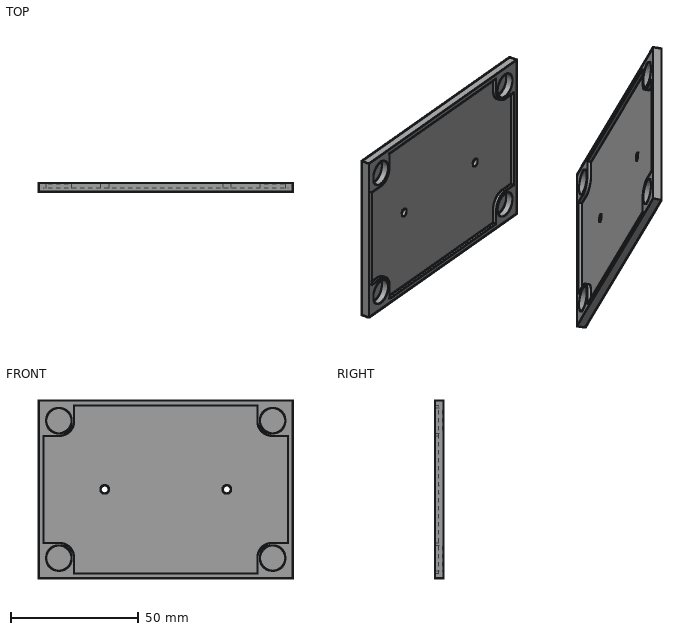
import cadquery as cq

length = 100.0
height = 70.0
thickness = 3.5

rim_width = 2.0
recess_depth = 1.5

pocket_diameter = 10.0
pocket_inset = 8.0
pocket_depth = 3.0
pad_radius = pocket_inset - rim_width

hole_diameter = 3.2
hole_spacing = 48.0

pocket_x = length / 2 - pocket_inset
pocket_z = height / 2 - pocket_inset
pocket_centers = [(sx * pocket_x, sz * pocket_z) for sx in (-1, 1) for sz in (-1, 1)]


def front_plane():
    """Workplane on the front face; local x, y are X, Z and negative extrusion goes into the plate."""
    return cq.Workplane("XZ")


def corner_pad(x, z):
    """Pad left standing in one recess corner, rounded about the pocket centre."""
    side = 2 * pad_radius
    return (
        front_plane()
        .center(x, z)
        .rect(side, side)
        .extrude(-recess_depth)
        .edges("|Y")
        .edges(cq.selectors.NearestToPointSelector((0, 0, 0)))
        .fillet(pad_radius)
    )


def recess():
    """Recess volume: an inset rectangle less the four corner pads."""
    volume = front_plane().rect(length - 2 * rim_width, height - 2 * rim_width).extrude(-recess_depth)
    for x, z in pocket_centers:
        volume = volume.cut(corner_pad(x, z))
    return volume


def corner_pockets():
    return front_plane().pushPoints(pocket_centers).circle(pocket_diameter / 2).extrude(-pocket_depth)


def through_holes():
    centers = [(-hole_spacing / 2, 0), (hole_spacing / 2, 0)]
    return front_plane().pushPoints(centers).circle(hole_diameter / 2).extrude(-thickness)


plate = front_plane().rect(length, height).extrude(-thickness)
result = plate.cut(recess()).cut(corner_pockets()).cut(through_holes())